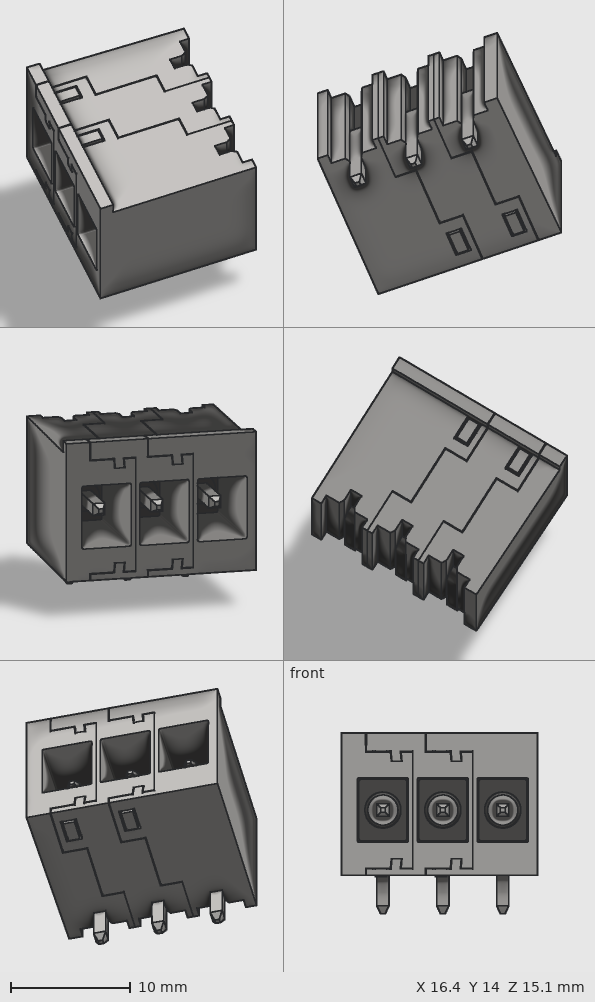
import cadquery as cq


poles = 3
pitch = 5.0
width = 16.4
depth = 14.02
body_height = 10.9
mid_z = body_height / 2
pole_x = 3.48
joint_x = pole_x + pitch / 2
end_taper = 0.31

lip_depth = 1.15
lip_height = 0.98

flap_thickness = 0.54
flap_reach = 3.95
flap_front_depth = 4.56
flap_rear_reach = 1.87
flap_depth = 10.04
flap_gap = 0.07

hook_right = 0.98
hook_width = 0.9
hook_height = 0.84
hook_lean = 0.08

window_width = 1.35
window_depth = 2.25
window_offset = 2.65
peg_width = 0.98
peg_depth = 1.94
peg_rise = 0.11

socket_width = 4.26
socket_height = 5.41
socket_depth = 9.02
socket_corner = 0.2
socket_draft = 0.13
boss_radius = 1.51
boss_top_radius = 1.26
boss_height = 1.97

recess_width = 4.0
recess_depth = 0.84
slot_mouth_width = 1.51
slot_mouth_depth = 0.41

pin_size = 1.03
pin_front_y = 1.8
pin_back_y = 12.73
pin_bottom_z = -3.21
pin_tip_size = 0.4
pin_tip_length = 0.69
pin_bend_radius = pin_size

pin_leg_y = pin_back_y - pin_size / 2
pin_leg_front_y = pin_back_y - pin_size
recess_floor_y = depth - recess_depth


def mirror_in_height(shape):
    """The same shape on the underside."""
    return shape.mirror("XY", (0, 0, mid_z))


def extrude_plan(points, bottom, top):
    """A prism from an XY outline."""
    return cq.Workplane("XY", origin=(0, 0, bottom)).polyline(points).close().extrude(top - bottom)


def upper_flap(joint, gap):
    """Stepped flap with its hook, left of a joint.

    The flap itself takes flap_gap, which draws in its free sides; the pocket for it takes 0.
    """
    front_x = joint - flap_reach + gap
    rear_x = joint - flap_rear_reach + gap
    step_y = flap_front_depth - gap
    end_y = flap_depth - gap
    underside = body_height - flap_thickness
    plate_bottom = underside - (flap_gap - gap)
    plan = [
        (joint, 0),
        (front_x, 0),
        (front_x, step_y),
        (rear_x, step_y),
        (rear_x, end_y),
        (joint, end_y),
    ]
    plate = extrude_plan(plan, plate_bottom, body_height)

    hook_x = joint - hook_right
    hook_bottom = underside - hook_height
    hook_outline = [
        (hook_x - gap, underside),
        (hook_x - hook_width + gap, underside),
        (hook_x - hook_width + gap + hook_lean, hook_bottom),
        (hook_x - gap + hook_lean, hook_bottom),
    ]
    hook = cq.Workplane("XZ").polyline(hook_outline).close().extrude(-end_y)
    return plate.union(hook)


def flap_pair(joint, gap):
    """The upper and lower flaps of the module on the right of a joint, lip included."""
    upper = upper_flap(joint, gap)
    lip_left = joint - flap_reach + gap
    lip = cq.Workplane("XY").box(joint - lip_left, lip_depth, lip_height, centered=False)
    lip = lip.translate((lip_left, 0, body_height))
    return upper.union(lip).union(mirror_in_height(upper))


def lock_blocks(joint, block_width, block_depth, rise):
    """A block through the upper flap and one through the lower flap."""
    block_height = flap_thickness + flap_gap + rise
    block_y = lip_depth + window_depth / 2
    block_z = body_height + rise - block_height / 2
    upper = cq.Workplane("XY").box(block_width, block_depth, block_height)
    upper = upper.translate((joint - window_offset, block_y, block_z))
    return upper.union(mirror_in_height(upper))


def socket(center_x):
    """Drafted socket with a conical boss round the contact on its floor."""
    mouth = (
        cq.Workplane("XZ", origin=(center_x, 0, mid_z))
        .rect(socket_width, socket_height)
        .workplane(offset=-socket_depth)
        .rect(socket_width - 2 * socket_draft, socket_height - 2 * socket_draft)
        .loft()
        .edges("not(|X or |Z)")
        .fillet(socket_corner)
    )
    boss = (
        cq.Workplane("XZ", origin=(center_x, socket_depth, mid_z))
        .circle(boss_radius)
        .workplane(offset=boss_height)
        .circle(boss_top_radius)
        .loft()
    )
    return mouth.cut(boss)


def back_recess(center_x):
    """Recess in the back with a flared slot for the pin, over the full height."""
    outline = [
        (center_x - recess_width / 2, depth),
        (center_x - recess_width / 2, recess_floor_y),
        (center_x - slot_mouth_width / 2, recess_floor_y),
        (center_x - pin_size / 2, recess_floor_y - slot_mouth_depth),
        (center_x - pin_size / 2, pin_leg_front_y),
        (center_x + pin_size / 2, pin_leg_front_y),
        (center_x + pin_size / 2, recess_floor_y - slot_mouth_depth),
        (center_x + slot_mouth_width / 2, recess_floor_y),
        (center_x + recess_width / 2, recess_floor_y),
        (center_x + recess_width / 2, depth),
    ]
    return extrude_plan(outline, 0, body_height)


def tapered_tip(start):
    """Pyramid-shaped pin end, from the full section on a workplane."""
    return (
        start.rect(pin_size, pin_size)
        .workplane(offset=pin_tip_length)
        .rect(pin_tip_size, pin_tip_size)
        .loft()
    )


def make_pin(pole):
    """Square contact pin: forward into the socket, and down through the back slot."""
    center_x = pole_x + pole * pitch
    half = pin_size / 2
    arm_start = pin_front_y + pin_tip_length
    leg_end = pin_bottom_z + pin_tip_length
    bent_bar = (
        cq.Workplane("YZ", origin=(center_x - half, 0, 0))
        .moveTo(arm_start, mid_z - half)
        .lineTo(arm_start, mid_z + half)
        .lineTo(pin_back_y - pin_bend_radius, mid_z + half)
        .radiusArc((pin_back_y, mid_z + half - pin_bend_radius), pin_bend_radius)
        .lineTo(pin_back_y, leg_end)
        .lineTo(pin_leg_front_y, leg_end)
        .lineTo(pin_leg_front_y, mid_z - half)
        .close()
        .extrude(pin_size)
    )
    contact_tip = tapered_tip(cq.Workplane("XZ", origin=(center_x, arm_start, mid_z)))
    solder_tip = tapered_tip(
        cq.Workplane("XY", origin=(center_x, pin_leg_y, leg_end)).transformed(rotate=(180, 0, 0))
    )
    return bent_bar.union(contact_tip).union(solder_tip)


def make_housing(pole, pin):
    """One housing module with its joints, socket and back slot."""
    is_first = pole == 0
    is_last = pole == poles - 1
    center_x = pole_x + pole * pitch
    left_joint = joint_x + (pole - 1) * pitch
    right_joint = joint_x + pole * pitch

    left = 0 if is_first else left_joint
    left_back = end_taper if is_first else left_joint
    right = width if is_last else right_joint
    profile = [
        (0, 0),
        (depth, 0),
        (depth, body_height),
        (lip_depth, body_height),
        (lip_depth, body_height + lip_height),
        (0, body_height + lip_height),
    ]
    plan = [(left, 0), (right, 0), (right, depth), (left_back, depth)]
    housing = cq.Workplane("YZ").polyline(profile).close().extrude(width)
    housing = housing.intersect(extrude_plan(plan, 0, body_height + lip_height))

    if not is_last:
        housing = housing.cut(flap_pair(right_joint, 0))
        housing = housing.union(lock_blocks(right_joint, peg_width, peg_depth, peg_rise))
    if not is_first:
        flaps = flap_pair(left_joint, flap_gap)
        housing = housing.union(flaps.cut(lock_blocks(left_joint, window_width, window_depth, 0)))

    return housing.cut(socket(center_x)).cut(back_recess(center_x)).cut(pin)


pins = [make_pin(pole) for pole in range(poles)]
housings = [make_housing(pole, pins[pole]) for pole in range(poles)]

result = cq.Compound.makeCompound([body.val() for body in housings + pins])